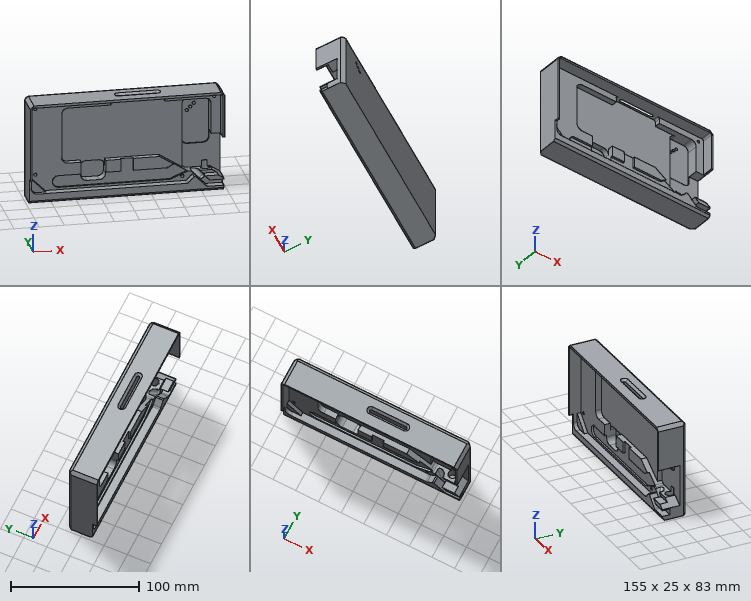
import cadquery as cq
import math

LENGTH = 155.0
DEPTH = 25.0
HEIGHT = 83.0
CORNER_CHAMFER = 3.0
FRONT_CHAMFER = 2.0

STEP_Y = 3.5
CORNER_POST_Y = 7.0
RECESS_Y = 10.0
GROOVE_Y = 11.8
POCKET_Y = 15.0
BAY_Y = 18.8
DEEP_Y = 20.0

STEP_Z = 19.8
TOP_WALL = 2.0
LEFT_WALL = 1.5
RIGHT_WALL = 1.5
RECESS_TOP = HEIGHT - TOP_WALL
RECESS_RIGHT = LENGTH - RIGHT_WALL
RECESS_BOTTOM = 7.6
LIP_TOP = 12.7
RECESS_RAMP_X = 126.2
RECESS_LOW_RADIUS = 5.0
RECESS_HIGH_RADIUS = 1.5
BEND_RADIUS = 1.9
CORNER_POST = STEP_Z - RECESS_BOTTOM

POCKET_LEFT = 27.1
POCKET_RIGHT = 124.0
POCKET_TOP = 75.2
POCKET_BOTTOM = 29.1
POCKET_RADIUS = 5.0
POCKET_SLOPE_X = 105.2
TAB_LEFT = 66.3
TAB_RIGHT = 109.3

LEDGE_Z = 15.2
LEDGE_LEFT = 127.1
BAY_TOP = 45.4
LEDGE_RADIUS = 3.9
SLOPE_START_X = 146.8
SLOPE_RATIO = (POCKET_BOTTOM - LEDGE_Z) / (LEDGE_LEFT - POCKET_SLOPE_X)
GRILLE_RIGHT = 146.2
GRILLE_BOTTOM = 35.0
GRILLE_HOLE_D = 2.3
GRILLE_HOLE_X = 131.6
GRILLE_HOLE_Z = 65.3
GRILLE_PITCH = 2.8

GROOVE_LEFT = 19.8
GROOVE_BOTTOM = 9.5
GROOVE_TOP = 19.2
GROOVE_RADIUS = (GROOVE_TOP - GROOVE_BOTTOM) / 2
GROOVE_RAMP_X = 113.3
LAND_LEFT = 74.4
LAND_RIGHT = 84.3
LAND_RAMP_X = 111.3
LAND_TIP_X = 116.2

WELL_LEFT = 42.6
WELL_RIGHT = 62.3
WELL_BOTTOM = 12.9
WELL_TOP = 28.2

CHANNEL_BOTTOM = 3.9
CHANNEL_TOP = 9.0
CHANNEL_BEND_X = 141.5
CHANNEL_BEND_ANGLE = 45
CABLE_RADIUS = 2.3
CABLE_END = (138.1, 10.7)
PLUG_X = 142.5
PLUG_Y = 16.1
PLUG_RADIUS = 3.4
PLUG_TOP = 20.3
PLUG_FILLET = 0.6
CABLE_RAMP_ANGLE = 27.0

SCREW_D = 2.3
SCREW_DEPTH = 4.6
DRILL_TIP_ANGLE = 118
SCREW_POINTS = [(6.0, 76.4), (6.0, 21.4), (148.5, 76.4), (123.2, 11.5)]

SLOT_LEFT = 69.6
SLOT_RIGHT = 106.3
SLOT_WIDTH = 6.4
SLOT_Y = 12.1


def plane(y):
    """Sketch plane facing the open side at depth y; negative extrusion goes toward the back."""
    return cq.Workplane("XZ", origin=(0, y, 0))


def prism(points, y0, y1):
    """Solid with an (x, z) outline, running from depth y0 to depth y1."""
    return plane(y0).polyline(points).close().extrude(y0 - y1)


def box(x0, x1, z0, z1, y0, y1):
    return prism([(x0, z0), (x1, z0), (x1, z1), (x0, z1)], y0, y1)


def round_edges(solid, radius, points):
    """Fillet the edges along Y that pass through the given (x, z) points."""
    reach = 0.2
    for x, z in points:
        near = cq.selectors.BoxSelector((x - reach, 0, z - reach), (x + reach, DEPTH, z + reach))
        solid = solid.edges("|Y").edges(near).fillet(radius)
    return solid


def slope_z(x):
    """Height of the slope that falls from the pocket's lower edge to the ledge."""
    return POCKET_BOTTOM - SLOPE_RATIO * (x - POCKET_SLOPE_X)


def make_body():
    """Block chamfered at the back and the upper corners, with its lower front set back."""
    body = cq.Workplane("XY").box(LENGTH, DEPTH, HEIGHT, centered=False)
    body = body.faces(">Y").edges("not <Z").chamfer(CORNER_CHAMFER)
    end_outline = box(0, LENGTH, 0, HEIGHT, 0, DEPTH).edges("|Y and >Z").chamfer(CORNER_CHAMFER)
    body = body.intersect(end_outline)
    body = body.cut(box(0, LENGTH, 0, STEP_Z, 0, STEP_Y))
    return body.faces("<Z").edges("<Y").chamfer(FRONT_CHAMFER)


def make_recess():
    """Shallow recess over the whole front; a triangular post stays in its lower left corner."""
    ramp_end_x = RECESS_RAMP_X + LIP_TOP - RECESS_BOTTOM
    outline = [
        (LEFT_WALL, RECESS_BOTTOM), (RECESS_RAMP_X, RECESS_BOTTOM), (ramp_end_x, LIP_TOP),
        (RECESS_RIGHT, LIP_TOP), (RECESS_RIGHT, RECESS_TOP), (LEFT_WALL, RECESS_TOP),
    ]
    recess = prism(outline, 0, RECESS_Y)
    recess = round_edges(recess, RECESS_LOW_RADIUS, outline[:1])
    recess = round_edges(recess, BEND_RADIUS, outline[1:2])
    recess = round_edges(recess, RECESS_HIGH_RADIUS, outline[4:])
    corner = [
        (LEFT_WALL, RECESS_BOTTOM), (LEFT_WALL + CORNER_POST, RECESS_BOTTOM), (LEFT_WALL, STEP_Z),
    ]
    return recess.cut(prism(corner, CORNER_POST_Y, RECESS_Y))


def make_pocket():
    """Main pocket with a tab that reaches the top wall under the port slot."""
    overlap_x = POCKET_RIGHT + POCKET_RADIUS
    outline = [
        (POCKET_LEFT, POCKET_BOTTOM), (POCKET_SLOPE_X, POCKET_BOTTOM),
        (POCKET_RIGHT, slope_z(POCKET_RIGHT)), (overlap_x, slope_z(POCKET_RIGHT)),
        (overlap_x, POCKET_TOP), (POCKET_LEFT, POCKET_TOP),
    ]
    pocket = prism(outline, 0, POCKET_Y)
    pocket = round_edges(pocket, POCKET_RADIUS, [outline[0], outline[-1]])
    tab = box(TAB_LEFT, TAB_RIGHT, POCKET_BOTTOM, RECESS_TOP, STEP_Y, POCKET_Y)
    tab = round_edges(tab, RECESS_HIGH_RADIUS, [(TAB_LEFT, RECESS_TOP), (TAB_RIGHT, RECESS_TOP)])
    return pocket.union(tab)


def make_bay():
    """Bay through the right wall, plus the deeper rounded pocket with three through holes."""
    slope_end_z = LEDGE_Z - SLOPE_RATIO * (LENGTH - SLOPE_START_X)
    outline = [
        (POCKET_RIGHT, slope_z(POCKET_RIGHT)), (LEDGE_LEFT, LEDGE_Z), (SLOPE_START_X, LEDGE_Z),
        (LENGTH, slope_end_z), (LENGTH, BAY_TOP), (POCKET_RIGHT, BAY_TOP),
    ]
    bay = prism(outline, 0, BAY_Y)
    bay = round_edges(bay, LEDGE_RADIUS, outline[1:2])
    grille = box(POCKET_RIGHT, GRILLE_RIGHT, GRILLE_BOTTOM, POCKET_TOP, 0, DEEP_Y)
    grille = grille.edges("|Y").fillet(POCKET_RADIUS)
    offsets = [-GRILLE_PITCH, 0, GRILLE_PITCH]
    hole_centres = [(GRILLE_HOLE_X + step, GRILLE_HOLE_Z + step) for step in offsets]
    holes = plane(0).pushPoints(hole_centres).circle(GRILLE_HOLE_D / 2).extrude(-DEPTH)
    return bay.union(grille).union(holes)


def make_groove():
    """Long groove below the pocket, joined to it by the gap between the two lands."""
    end_x = GROOVE_LEFT + GROOVE_RADIUS
    end_z = GROOVE_BOTTOM + GROOVE_RADIUS
    outline = [
        (end_x, GROOVE_BOTTOM), (GROOVE_RAMP_X, GROOVE_BOTTOM), (LEDGE_LEFT, LEDGE_Z),
        (LAND_TIP_X, slope_z(LAND_TIP_X)), (LAND_RAMP_X, GROOVE_TOP), (end_x, GROOVE_TOP),
    ]
    groove = prism(outline, 0, GROOVE_Y)
    groove = round_edges(groove, BEND_RADIUS, outline[1:2])
    groove = groove.union(plane(0).center(end_x, end_z).circle(GROOVE_RADIUS).extrude(-GROOVE_Y))
    return groove.union(box(LAND_LEFT, LAND_RIGHT, GROOVE_BOTTOM, POCKET_BOTTOM, 0, GROOVE_Y))


def make_well():
    """Rounded finger well that opens upward into the main pocket."""
    well = box(WELL_LEFT, WELL_RIGHT, WELL_BOTTOM, WELL_TOP, 0, DEEP_Y).edges("|Y").fillet(POCKET_RADIUS)
    middle = (WELL_BOTTOM + WELL_TOP) / 2
    return well.union(box(WELL_LEFT, WELL_RIGHT, middle, POCKET_BOTTOM, 0, POCKET_Y))


def make_cable_path():
    """Channel from the right side, the ramp up to the ledge and the plug hole in the ledge."""
    lower_rise = LEDGE_Z - CHANNEL_BOTTOM
    miter = math.tan(math.radians(CHANNEL_BEND_ANGLE / 2))
    upper_bend_x = CHANNEL_BEND_X + (CHANNEL_TOP - CHANNEL_BOTTOM) * miter
    upper_rise = LEDGE_Z - CHANNEL_TOP
    outline = [
        (LENGTH, CHANNEL_BOTTOM), (CHANNEL_BEND_X, CHANNEL_BOTTOM),
        (CHANNEL_BEND_X - lower_rise, LEDGE_Z), (upper_bend_x - upper_rise, LEDGE_Z),
        (upper_bend_x, CHANNEL_TOP), (LENGTH, CHANNEL_TOP),
    ]
    channel = prism(outline, 0, RECESS_Y)
    channel = round_edges(channel, BEND_RADIUS, outline[1:2])
    plug = cq.Workplane("XY", origin=(PLUG_X, PLUG_Y, CHANNEL_BOTTOM)).circle(PLUG_RADIUS)
    plug = plug.extrude(PLUG_TOP - CHANNEL_BOTTOM).faces(">Z").edges().fillet(PLUG_FILLET)
    return channel.union(make_cable_ramp()).union(plug)


def make_cable_ramp():
    """Round-bottomed slot that runs up the diagonal and sinks deeper toward the ledge."""
    end_x, end_z = CABLE_END
    run = (LEDGE_Z - end_z + 2 * CABLE_RADIUS) * math.sqrt(2)
    sink = run * math.tan(math.radians(CABLE_RAMP_ANGLE))
    start = cq.Vector(end_x, RECESS_Y, end_z)
    uphill = cq.Vector(-1, 0, 1).normalized()
    across = cq.Vector(-1, 0, -1)
    axis = uphill * run + cq.Vector(0, sink, 0)
    ramp = cq.Workplane(cq.Solid.makeCylinder(CABLE_RADIUS, axis.Length, start, axis))
    ramp = ramp.union(cq.Workplane("XY").sphere(CABLE_RADIUS).translate(start))
    wedge = cq.Workplane(cq.Plane(start, uphill, across)).polyline([(0, 0), (run, 0), (run, sink)])
    ramp = ramp.union(wedge.close().extrude(CABLE_RADIUS, both=True))
    return ramp.intersect(box(0, LENGTH, 0, LEDGE_Z, 0, BAY_Y))


def make_screw_holes():
    """Blind drilled holes in the recess floor."""
    tip = SCREW_D / 2 / math.tan(math.radians(DRILL_TIP_ANGLE / 2))
    profile = [(0, 0), (SCREW_D / 2, 0), (SCREW_D / 2, SCREW_DEPTH), (0, SCREW_DEPTH + tip)]
    hole = cq.Workplane("XY").polyline(profile).close().revolve(360, (0, 0), (0, 1))
    holes = cq.Workplane("XY")
    for x, z in SCREW_POINTS:
        holes = holes.add(hole.translate((x, RECESS_Y, z)))
    return holes.combine()


def make_port_slot():
    """Rounded slot through the top wall, narrowing inward at 45 degrees."""
    centre = ((SLOT_LEFT + SLOT_RIGHT) / 2, SLOT_Y, HEIGHT)
    length = SLOT_RIGHT - SLOT_LEFT
    slot = cq.Workplane("XY", origin=centre).slot2D(length, SLOT_WIDTH)
    return slot.extrude(-TOP_WALL, taper=45)


cutters = [
    make_recess(), make_pocket(), make_bay(), make_groove(),
    make_well(), make_cable_path(), make_screw_holes(), make_port_slot(),
]
result = make_body()
for cutter in cutters:
    result = result.cut(cutter)